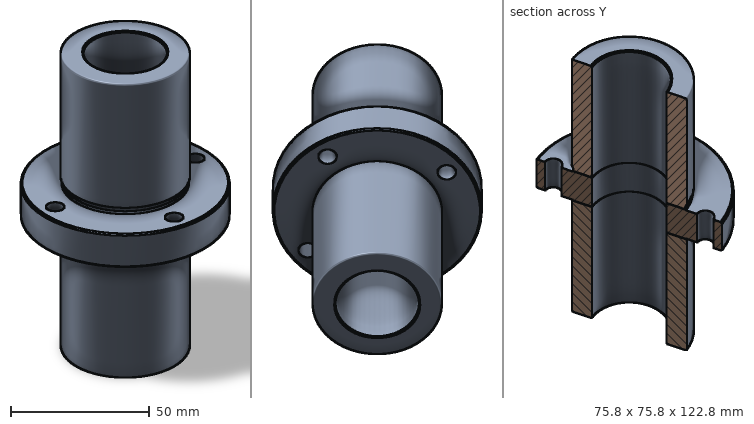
import cadquery as cq

total_length = 122.8
sleeve_diameter = 47.0
sleeve_radius = sleeve_diameter / 2
bore_radius = 15.1
edge_fillet = 0.9
bore_chamfer = 0.5

flange_diameter = 75.8
flange_thickness = 14.0
flange_bottom = (total_length - flange_thickness) / 2
flange_top = flange_bottom + flange_thickness
flange_chamfer = 0.6

hole_count = 4
hole_circle_radius = 31.0
hole_diameter = 6.6

relief_height = 2.8
relief_depth = 0.7
relief_root_height = 1.0
relief_foot_inset = 0.4

lower_top_fillet = 0.7


def revolve_profile(points):
    """Revolve a closed (radius, height) outline around the Z axis."""
    return cq.Workplane("XZ").polyline(points).close().revolve(360, (0, 0, 0), (0, 1, 0))


def round_outer_rim(tube, end, radius):
    """Round the outermost edge at one end of a tube, where end is ">Z" or "<Z"."""
    return tube.edges(cq.selectors.RadiusNthSelector(-1)).edges(end).fillet(radius)


def make_upper_sleeve():
    """Tube above the flange, rounded at its free end and relieved at its foot."""
    tube = revolve_profile([
        (bore_radius, flange_top),
        (sleeve_radius - relief_foot_inset, flange_top),
        (sleeve_radius - relief_depth, flange_top + relief_root_height),
        (sleeve_radius, flange_top + relief_height),
        (sleeve_radius, total_length),
        (bore_radius + bore_chamfer, total_length),
        (bore_radius, total_length - bore_chamfer),
    ])
    return round_outer_rim(tube, ">Z", edge_fillet)


def make_lower_sleeve():
    """Tube below the flange, rounded outside at both ends."""
    tube = revolve_profile([
        (bore_radius + bore_chamfer, 0),
        (sleeve_radius, 0),
        (sleeve_radius, flange_bottom),
        (bore_radius, flange_bottom),
        (bore_radius, bore_chamfer),
    ])
    tube = round_outer_rim(tube, "<Z", edge_fillet)
    return round_outer_rim(tube, ">Z", lower_top_fillet)


def make_flange():
    """Round flange between the sleeves, with its bore and a circle of mounting holes."""
    disc = (
        cq.Workplane("XY", origin=(0, 0, flange_bottom))
        .circle(flange_diameter / 2)
        .extrude(flange_thickness)
        .edges()
        .chamfer(flange_chamfer)
    )
    return (
        disc.faces(">Z").workplane(origin=(0, 0, flange_top))
        .hole(2 * bore_radius)
        .faces(">Z").workplane(origin=(0, 0, flange_top))
        .polarArray(hole_circle_radius, 0, 360, hole_count)
        .hole(hole_diameter)
    )


upper_sleeve = make_upper_sleeve()
lower_sleeve = make_lower_sleeve()
flange = make_flange()

result = cq.Compound.makeCompound([upper_sleeve.val(), lower_sleeve.val(), flange.val()])